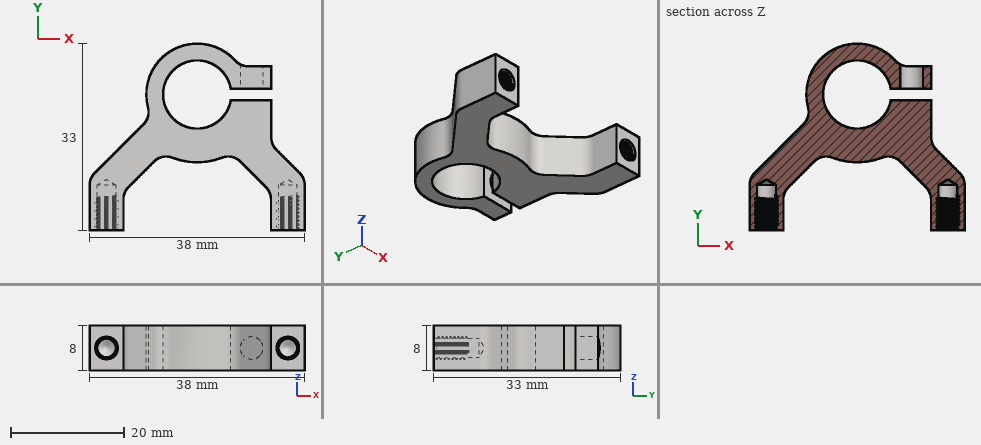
import cadquery as cq
import math

thickness = 8.0
bore_radius = 6.0
ring_radius = 9.0
web_radius = 12.0
slot_width = 2.0
jaw_end_x = 13.1
jaw_top_y = 5.0
clamp_hole_diameter = 4.0
clamp_hole_end_margin = 3.5

leg_width = 6.0
leg_x = 16.0
leg_end_y = -24.0
blend_radius = 3.0

thread_diameter = 4.0
thread_pitch = 0.7
tap_drill_diameter = 3.3
thread_depth = 6.0
drill_depth = 8.0
drill_point_angle = 118.0
thread_start = thread_pitch / 2
groove_flat = thread_pitch / 8
thread_flank_angle = 30.0
groove_overlap = 0.1

half_leg = leg_width / 2
leg_outer_x = leg_x + half_leg
leg_inner_x = leg_x - half_leg
diagonal_rise = half_leg * math.sqrt(2)
tap_radius = tap_drill_diameter / 2
thread_radius = thread_diameter / 2
clamp_hole_x = jaw_end_x - clamp_hole_end_margin


def diagonal_on_circle(radius, side):
    """Point where a left diagonal edge meets a circle about the bore; side is +1 above, -1 below."""
    along = math.sqrt(radius**2 - half_leg**2)
    return (-(along + side * half_leg) / math.sqrt(2), (-along + side * half_leg) / math.sqrt(2))


def make_body():
    ring_left = diagonal_on_circle(ring_radius, 1)
    web_left = diagonal_on_circle(web_radius, -1)
    web_right = (-web_left[0], web_left[1])
    ring_right = (math.sqrt(ring_radius**2 - jaw_top_y**2), jaw_top_y)
    jaw_root = (jaw_end_x, diagonal_rise - jaw_end_x)
    outer_left = (-leg_outer_x, diagonal_rise - leg_outer_x)
    outer_right = (leg_outer_x, diagonal_rise - leg_outer_x)
    inner_left = (-leg_inner_x, -diagonal_rise - leg_inner_x)
    inner_right = (leg_inner_x, -diagonal_rise - leg_inner_x)

    body = (
        cq.Workplane("XY", origin=(0, 0, -thickness / 2))
        .moveTo(*ring_left)
        .lineTo(*outer_left)
        .lineTo(-leg_outer_x, leg_end_y)
        .lineTo(-leg_inner_x, leg_end_y)
        .lineTo(*inner_left)
        .lineTo(*web_left)
        .threePointArc((0, -web_radius), web_right)
        .lineTo(*inner_right)
        .lineTo(leg_inner_x, leg_end_y)
        .lineTo(leg_outer_x, leg_end_y)
        .lineTo(*outer_right)
        .lineTo(*jaw_root)
        .lineTo(jaw_end_x, jaw_top_y)
        .lineTo(*ring_right)
        .threePointArc((0, ring_radius), ring_left)
        .close()
        .extrude(thickness)
    )

    blended_corners = [
        ring_left, outer_left, inner_left, web_left, web_right,
        inner_right, outer_right, jaw_root, ring_right,
    ]
    for x, y in blended_corners:
        body = body.edges(cq.NearestToPointSelector((x, y, 0))).fillet(blend_radius)
    return body


def cut_bore_and_slot(body):
    bore = cq.Workplane("XY").circle(bore_radius).extrude(thickness, both=True)
    slot = cq.Workplane("XY").box(jaw_end_x, slot_width, thickness).translate((jaw_end_x / 2, 0, 0))
    return body.cut(bore).cut(slot)


def cut_clamp_hole(body):
    """Screw hole along +Y through the upper jaw and its blend, starting in the slot."""
    hole = (
        cq.Workplane("XZ", origin=(clamp_hole_x, 0, 0))
        .circle(clamp_hole_diameter / 2)
        .extrude(-jaw_top_y - blend_radius)
    )
    return body.cut(hole)


def make_drill():
    """Tap drill along +Z with its mouth at Z = 0, a 45 degree lead-in and a conical point."""
    lead_in_depth = thread_radius - tap_radius
    point_height = tap_radius / math.tan(math.radians(drill_point_angle / 2))
    return (
        cq.Workplane("XZ")
        .polyline([
            (0, 0),
            (thread_radius, 0),
            (tap_radius, lead_in_depth),
            (tap_radius, drill_depth),
            (0, drill_depth + point_height),
        ])
        .close()
        .revolve(360, (0, 0, 0), (0, 1, 0))
    )


def make_thread_groove():
    """Helical V groove along +Z that starts in the lead-in of the hole."""
    inner_radius = tap_radius - groove_overlap
    flank_rise = (thread_radius - inner_radius) * math.tan(math.radians(thread_flank_angle))
    half_flat = groove_flat / 2
    half_base = half_flat + flank_rise
    helix = cq.Wire.makeHelix(thread_pitch, thread_depth - thread_start, inner_radius)
    groove = (
        cq.Workplane("XZ")
        .polyline([
            (inner_radius, -half_base),
            (thread_radius, -half_flat),
            (thread_radius, half_flat),
            (inner_radius, half_base),
        ])
        .close()
        .sweep(cq.Workplane(obj=helix), isFrenet=True)
    )
    return groove.translate((0, 0, thread_start))


def cut_tapped_holes(body):
    for cutter in (make_drill(), make_thread_groove()):
        cutter = cutter.rotate((0, 0, 0), (1, 0, 0), -90)
        for x in (-leg_x, leg_x):
            body = body.cut(cutter.translate((x, leg_end_y, 0)))
    return body


result = cut_tapped_holes(cut_clamp_hole(cut_bore_and_slot(make_body())))